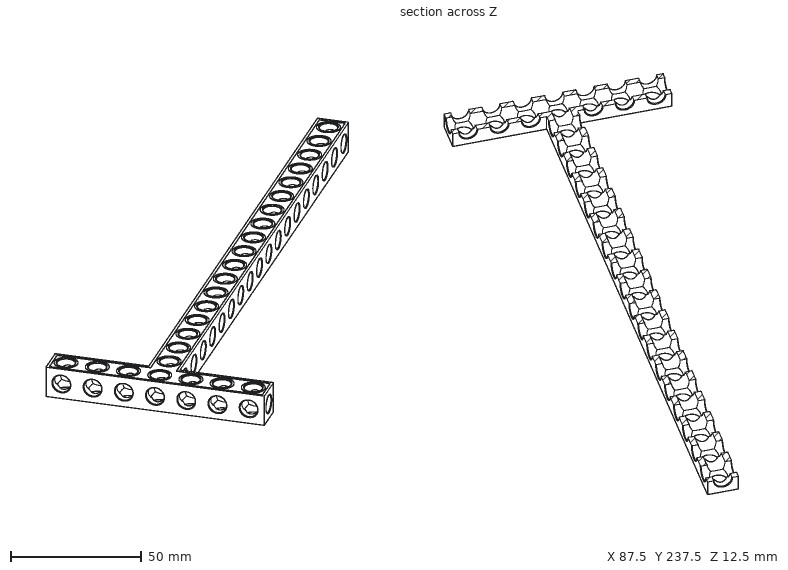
import cadquery as cq

PITCH = 12.5
BAR_HOLES = 7
STEM_HOLES = 19

HOLE_DIAMETER = 7.0
HOLE_CHAMFER = 0.3

RIM_WIDTH = 1.1
POCKET_DEPTH = 0.2

CORNER_CHAMFER = 0.2

half_pitch = PITCH / 2
hole_radius = HOLE_DIAMETER / 2
ring_radius = hole_radius + RIM_WIDTH
bar_length = BAR_HOLES * PITCH
stem_length = STEM_HOLES * PITCH
stem_end_y = stem_length - half_pitch

bar_stations = [(i - (BAR_HOLES - 1) / 2) * PITCH for i in range(BAR_HOLES)]
stem_stations = [i * PITCH for i in range(STEM_HOLES)]
vertical_hole_centers = [(x, 0) for x in bar_stations] + [(0, y) for y in stem_stations[1:]]


def tee(inset, bottom_z, height):
    """T-shaped slab whose outline is moved inward by inset."""
    width = PITCH - 2 * inset
    on_base = (True, True, False)
    bar = cq.Workplane("XY").box(bar_length - 2 * inset, width, height, centered=on_base)
    stem = cq.Workplane("XY").box(width, stem_length - 2 * inset, height, centered=on_base)
    stem = stem.translate((0, stem_end_y - stem_length / 2, 0))
    return bar.union(stem).translate((0, 0, bottom_z))


def chamfered_hole(start, end):
    """Cutter for a through hole from start to end, chamfered at both mouths."""
    axis = end - start
    hole = cq.Workplane(cq.Solid.makeCylinder(hole_radius, axis.Length, start, axis))
    for mouth, inward in ((start, axis), (end, -axis)):
        cone = cq.Solid.makeCone(hole_radius + HOLE_CHAMFER, hole_radius, HOLE_CHAMFER, mouth, inward)
        hole = hole.union(cq.Workplane(cone))
    return hole


def make_body():
    body = tee(0, -half_pitch, PITCH)
    return body.edges("|Z").edges("<X or >X or <Y or >Y").chamfer(CORNER_CHAMFER)


def make_top_pocket():
    floor_z = half_pitch - POCKET_DEPTH
    rings = (
        cq.Workplane("XY", origin=(0, 0, floor_z))
        .pushPoints(vertical_hole_centers)
        .circle(ring_radius)
        .extrude(POCKET_DEPTH)
    )
    return tee(RIM_WIDTH, floor_z, POCKET_DEPTH).cut(rings)


def make_holes():
    holes = []
    for x, y in vertical_hole_centers:
        holes.append(chamfered_hole(cq.Vector(x, y, -half_pitch), cq.Vector(x, y, half_pitch)))
    for x in bar_stations:
        end_y = stem_end_y if x == 0 else half_pitch
        holes.append(chamfered_hole(cq.Vector(x, -half_pitch, 0), cq.Vector(x, end_y, 0)))
    for y in stem_stations:
        end_x = bar_length / 2 if y == 0 else half_pitch
        holes.append(chamfered_hole(cq.Vector(-end_x, y, 0), cq.Vector(end_x, y, 0)))
    return holes


result = make_body().cut(make_top_pocket())
for hole in make_holes():
    result = result.cut(hole)